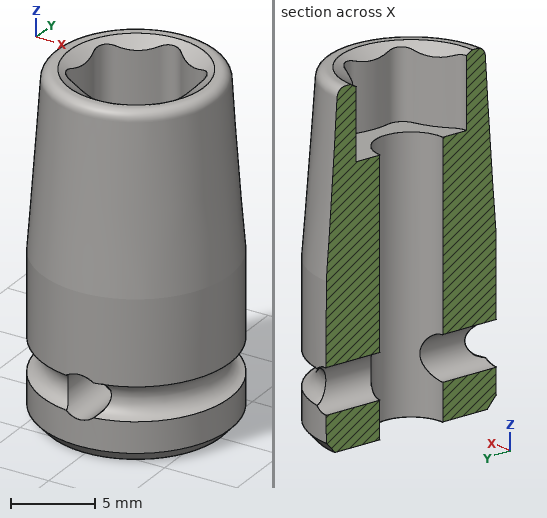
import cadquery as cq
import math

height = 23.0
body_radius = 13.0 / 2
taper_start = 11.0
nose_radius = 5.68
nose_round_height = 0.65
rim_radius = 5.0
base_chamfer_height = 0.75
base_chamfer_width = 0.7

groove_center_z = 4.02
groove_width = 2.32
groove_depth = 1.0
pin_hole_diameter = 3.0

lobe_count = 6
lobe_outer_radius = 4.19
lobe_valley_radius = 3.59
lobe_tip_radius = 1.08
socket_depth = 5.0
lead_in_radius = 4.65
lead_in_angle = 30.0
bore_radius = 2.4


def polar(radius, angle):
    return (radius * math.cos(angle), radius * math.sin(angle))


def make_body():
    """Revolve the grooved, tapered outside as a solid."""
    shoulder_z = height - nose_round_height
    round_width = nose_radius - rim_radius
    round_mid = (
        rim_radius + round_width * math.cos(math.pi / 4),
        shoulder_z + nose_round_height * math.sin(math.pi / 4),
    )
    profile = (
        cq.Workplane("XZ")
        .lineTo(body_radius - base_chamfer_width, 0)
        .lineTo(body_radius, base_chamfer_height)
        .lineTo(body_radius, groove_center_z - groove_width / 2)
        .threePointArc(
            (body_radius - groove_depth, groove_center_z),
            (body_radius, groove_center_z + groove_width / 2),
        )
        .lineTo(body_radius, taper_start)
        .lineTo(nose_radius, shoulder_z)
        .threePointArc(round_mid, (rim_radius, height))
        .lineTo(0, height)
        .close()
    )
    return profile.revolve(360, (0, 0), (0, 1))


def make_socket():
    """Lobed pocket of tangent tip and valley arcs, with lobes on the Y axis."""
    half_pitch = math.pi / lobe_count
    tip_center = lobe_outer_radius - lobe_tip_radius
    projection = tip_center * math.cos(half_pitch)
    valley_arc_radius = (
        lobe_tip_radius**2 - tip_center**2 - lobe_valley_radius**2 + 2 * projection * lobe_valley_radius
    ) / (2 * (lobe_valley_radius - projection - lobe_tip_radius))
    valley_center = lobe_valley_radius + valley_arc_radius

    share = lobe_tip_radius / (lobe_tip_radius + valley_arc_radius)
    along = tip_center + share * (valley_center * math.cos(half_pitch) - tip_center)
    across = share * valley_center * math.sin(half_pitch)
    joint_radius = math.hypot(along, across)
    joint_angle = math.atan2(across, along)

    first_lobe = math.pi / 2
    outline = cq.Workplane("XY", origin=(0, 0, height - socket_depth))
    outline = outline.moveTo(*polar(joint_radius, first_lobe - joint_angle))
    for index in range(lobe_count):
        lobe = first_lobe + index * 2 * half_pitch
        valley = lobe + half_pitch
        next_lobe = valley + half_pitch
        outline = outline.threePointArc(
            polar(lobe_outer_radius, lobe), polar(joint_radius, lobe + joint_angle)
        )
        outline = outline.threePointArc(
            polar(lobe_valley_radius, valley), polar(joint_radius, next_lobe - joint_angle)
        )
    return outline.close().extrude(socket_depth)


def make_lead_in():
    """Conical countersink that guides into the socket."""
    cone_depth = lead_in_radius * math.tan(math.radians(lead_in_angle))
    return (
        cq.Workplane("XZ")
        .moveTo(0, height - cone_depth)
        .lineTo(lead_in_radius, height)
        .lineTo(0, height)
        .close()
        .revolve(360, (0, 0), (0, 1))
    )


bore = cq.Workplane("XY").circle(bore_radius).extrude(height)
pin_hole = (
    cq.Workplane("XZ", origin=(0, 0, groove_center_z))
    .circle(pin_hole_diameter / 2)
    .extrude(body_radius, both=True)
)

result = make_body().cut(make_socket()).cut(make_lead_in()).cut(bore).cut(pin_hole)